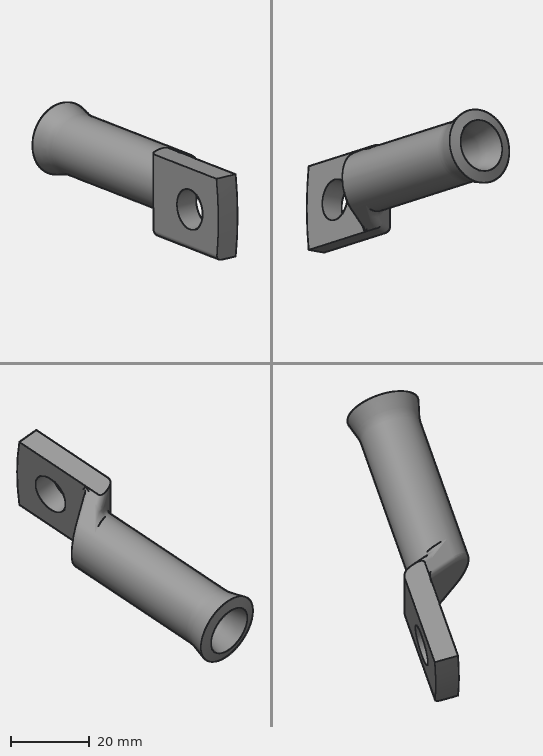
import cadquery as cq
import math

barrel_radius = 8.1
bore_radius = 5.0
bore_depth = 40.0
mouth_radius = 6.6
rim_radius = 19.1 / 2
rim_setback = 0.8
flare_length = 6.4
flare_blend = 1.2

total_length = 79.9
total_depth = 20.5
palm_half_width = 22.0 / 2
palm_thickness = 6.2
palm_front = rim_radius - total_depth
palm_back = palm_front + palm_thickness
palm_side_end = 79.1
hole_x = 68.0
hole_radius = 10.6 / 2

neck_slope = math.radians(61.0)
back_slope_x = 55.5
front_slope_x = 48.8
front_bend_radius = 2.55
back_radius = 1.4
front_radius = 1.6

corner_distance = math.hypot(palm_half_width, palm_back)
corner_angle = math.atan2(palm_back, palm_half_width)
tangent_angle = corner_angle + math.acos(barrel_radius / corner_distance)
tangent_y = barrel_radius * math.sin(tangent_angle)
tangent_z = barrel_radius * math.cos(tangent_angle)


def slope_x(x_at_palm_back, y):
    """X of a neck slope at height y, given its X level with the palm back."""
    return x_at_palm_back - (y - palm_back) / math.tan(neck_slope)


def revolve_about_x(outline):
    """Closes an outline and spins it about the barrel axis."""
    return outline.close().revolve(360, (0, 0, 0), (1, 0, 0))


def blended_mouth(start_x, start_radius, straight_radius):
    """Cone points and tangent arc points running into a straight cylinder."""
    slope = math.atan2(start_radius - straight_radius, flare_length - start_x)
    cone_end = (
        flare_length - flare_blend * math.cos(slope),
        straight_radius + flare_blend * math.sin(slope),
    )
    straight_start = (flare_length + flare_blend, straight_radius)
    return cone_end, straight_start


def make_barrel():
    """Solid barrel with a flared mouth and a slightly conical rim."""
    cone_end, straight_start = blended_mouth(rim_setback, rim_radius, barrel_radius)
    outline = (
        cq.Workplane("XY")
        .lineTo(0, mouth_radius)
        .lineTo(rim_setback, rim_radius)
        .lineTo(*cone_end)
        .tangentArcPoint(straight_start, relative=False)
        .lineTo(total_length, barrel_radius)
        .lineTo(total_length, 0)
    )
    return revolve_about_x(outline)


def make_bore():
    """Blind bore with a tapered lead-in."""
    cone_end, straight_start = blended_mouth(0, mouth_radius, bore_radius)
    outline = (
        cq.Workplane("XY")
        .lineTo(0, mouth_radius)
        .lineTo(*cone_end)
        .tangentArcPoint(straight_start, relative=False)
        .lineTo(bore_depth, bore_radius)
        .lineTo(bore_depth, 0)
    )
    return revolve_about_x(outline)


def make_barrel_limit():
    """Block that keeps the barrel behind the back slope of the neck."""
    y_low, y_high = palm_front, rim_radius
    return (
        cq.Workplane("XY")
        .polyline([
            (0, y_low),
            (back_slope_x, y_low),
            (back_slope_x, palm_back),
            (slope_x(back_slope_x, y_high), y_high),
            (0, y_high),
        ])
        .close()
        .extrude(rim_radius, both=True)
    )


def make_neck_and_palm():
    """Bent strip whose sides taper inwards to run tangent into the barrel."""
    bent_strip = (
        cq.Workplane("XY")
        .polyline([
            (slope_x(front_slope_x, palm_front), palm_front),
            (total_length, palm_front),
            (total_length, palm_back),
            (back_slope_x, palm_back),
            (slope_x(back_slope_x, barrel_radius), barrel_radius),
            (slope_x(front_slope_x, barrel_radius), barrel_radius),
        ])
        .close()
        .extrude(palm_half_width, both=True)
        .edges(cq.selectors.NearestToPointSelector((slope_x(front_slope_x, palm_front), palm_front, 0)))
        .fillet(front_bend_radius)
    )
    section = (
        cq.Workplane("YZ")
        .moveTo(palm_front, -palm_half_width)
        .lineTo(palm_back, -palm_half_width)
        .lineTo(tangent_y, -tangent_z)
        .threePointArc((barrel_radius, 0), (tangent_y, tangent_z))
        .lineTo(palm_back, palm_half_width)
        .lineTo(palm_front, palm_half_width)
        .close()
        .extrude(total_length)
    )
    end_outline = (
        cq.Workplane("XZ")
        .moveTo(0, -palm_half_width)
        .lineTo(palm_side_end, -palm_half_width)
        .threePointArc((total_length, 0), (palm_side_end, palm_half_width))
        .lineTo(0, palm_half_width)
        .close()
        .extrude(total_length, both=True)
    )
    return bent_strip.intersect(section).intersect(end_outline)


def round_edges(body, radius, points):
    """Rounds the edges whose centres lie nearest to the given points, all together."""
    chosen = [body.edges(cq.selectors.NearestToPointSelector(point)).val() for point in points]
    return body.newObject(chosen).fillet(radius)


def taper_middles(x_at_palm_back):
    """Middles of the two slanted edges that bound a neck slope."""
    y = (palm_back + tangent_y) / 2
    z = (palm_half_width + tangent_z) / 2
    x = slope_x(x_at_palm_back, y)
    return [(x, y, -z), (x, y, z)]


def round_front(body):
    """Rounds the front slope's sides, the barrel root and the palm's lower front edge."""
    root_y = -barrel_radius / 2
    barrel_root = (slope_x(front_slope_x, root_y), root_y, 0)
    lower_edge = ((front_slope_x + total_length) / 2, palm_front, -palm_half_width)
    return round_edges(body, front_radius, taper_middles(front_slope_x) + [barrel_root, lower_edge])


def round_back(body):
    """Rounds the rim of the back slope and the inside bend where it meets the palm."""
    rim_y = (tangent_y + barrel_radius) / 2
    rim_x = slope_x(back_slope_x, rim_y)
    rim_z = barrel_radius / 2
    rim = [(rim_x, rim_y, -rim_z), (rim_x, rim_y, rim_z)]
    inside_bend = (back_slope_x, palm_back, 0)
    return round_edges(body, back_radius, taper_middles(back_slope_x) + rim + [inside_bend])


barrel = make_barrel().intersect(make_barrel_limit())
body = round_back(round_front(barrel.union(make_neck_and_palm())))
palm_hole = cq.Workplane("XZ").center(hole_x, 0).circle(hole_radius).extrude(total_length, both=True)
result = body.cut(make_bore()).cut(palm_hole)